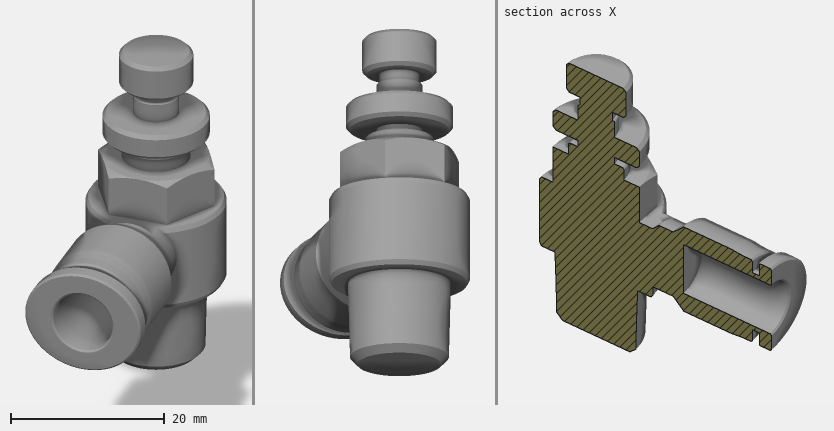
import cadquery as cq
import math


thread_top_radius = 6.72
thread_end_radius = 6.45
thread_length = 11.0
thread_chamfer = 1.0

body_radius = 9.2
body_height = 11.8
body_chamfer_height = 0.6
body_chamfer_angle = 30.0
body_chamfer_width = body_chamfer_height * math.tan(math.radians(body_chamfer_angle))
body_bottom_z = thread_length
body_top_z = body_bottom_z + body_height

hex_across_flats = 14.0
hex_height = 6.0
hex_chamfer_angle = 30.0
hex_corner_radius = hex_across_flats / math.sqrt(3)
hex_top_z = body_top_z + hex_height

collar_radius = 4.5
collar_height = 2.0
collar_chamfer = 0.25
collar_top_z = hex_top_z + collar_height
stem_radius = 3.0
stem_chamfer = 0.15
stem_top_z = 38.0
stem_neck_radius = 2.65
ring_radius = 7.0
ring_thickness = 3.5
ring_chamfer = 0.5
ring_gap = 1.0
ring_bottom_z = collar_top_z + ring_gap
knob_radius = 4.85
knob_height = 5.0
knob_top_chamfer = 0.5
knob_bottom_chamfer = 0.5
overall_height = 44.3
knob_bottom_z = overall_height - knob_height

arm_axis_z = 18.37
arm_neck_radius = 5.5
arm_neck_end = 12.4
sleeve_radius = 7.2
sleeve_start = arm_neck_end + sleeve_radius - arm_neck_radius
sleeve_end = 21.6
sleeve_tip_radius = 7.0
sleeve_taper_end = 23.6
sleeve_tip_end = 25.2
sleeve_tip_chamfer = 0.25
release_stem_radius = 4.9

flange_width = 16.0
flange_height = 14.0
flange_start = 26.3
flange_chamfer = 0.25
arm_length = 28.3

bore_radius = 4.1
bore_depth = arm_length - sleeve_start
bore_chamfer = 0.25

relief_flat_height = body_top_z - arm_axis_z
relief_cone_end = 10.15
relief_cone_start = relief_cone_end - (arm_neck_radius - relief_flat_height)


def disc(radius, bottom_z, top_z, bottom_chamfer=0.0, top_chamfer=0.0):
    """Cylinder on the Z axis with optional chamfers on its rims."""
    solid = cq.Workplane("XY").workplane(offset=bottom_z).circle(radius).extrude(top_z - bottom_z)
    if bottom_chamfer > 0:
        solid = solid.faces("<Z").chamfer(bottom_chamfer)
    if top_chamfer > 0:
        solid = solid.faces(">Z").chamfer(top_chamfer)
    return solid


def axis_revolve(profile):
    """Revolve (radius, height) points about the Z axis."""
    return cq.Workplane("XZ").polyline(profile).close().revolve(360, (0, 0), (0, 1))


def arm_revolve(profile):
    """Revolve (radius, distance) points about the arm axis."""
    points = [(-distance, arm_axis_z + radius) for radius, distance in profile]
    return cq.Workplane("YZ").polyline(points).close().revolve(360, (0, arm_axis_z), (1, arm_axis_z))


def make_body():
    """Cylinder with steep chamfers on both rims."""
    rim_radius = body_radius - body_chamfer_width
    return axis_revolve([
        (0, body_bottom_z),
        (rim_radius, body_bottom_z),
        (body_radius, body_bottom_z + body_chamfer_height),
        (body_radius, body_top_z - body_chamfer_height),
        (rim_radius, body_top_z),
        (0, body_top_z),
    ])


def make_thread_end():
    profile = [
        (0, 0),
        (thread_end_radius - thread_chamfer, 0),
        (thread_end_radius, thread_chamfer),
        (thread_top_radius, thread_length),
        (0, thread_length),
    ]
    return axis_revolve(profile)


def make_hex_nut():
    """Hexagon with corners on X, trimmed on top by a shallow cone touching the flats."""
    prism = (
        cq.Workplane("XY")
        .workplane(offset=body_top_z)
        .polygon(6, 2 * hex_corner_radius)
        .extrude(hex_height)
    )
    flat_radius = hex_across_flats / 2
    outer_radius = body_radius
    cone_drop = (outer_radius - flat_radius) * math.tan(math.radians(hex_chamfer_angle))
    envelope_profile = [
        (0, body_top_z),
        (outer_radius, body_top_z),
        (outer_radius, hex_top_z - cone_drop),
        (flat_radius, hex_top_z),
        (0, hex_top_z),
    ]
    return prism.intersect(axis_revolve(envelope_profile))


def make_adjuster():
    """Collar, stem, lock ring and knob above the nut."""
    collar = disc(collar_radius, hex_top_z, collar_top_z, top_chamfer=collar_chamfer)
    stem = disc(stem_radius, collar_top_z, stem_top_z, top_chamfer=stem_chamfer)
    ring = disc(ring_radius, ring_bottom_z, ring_bottom_z + ring_thickness, ring_chamfer, ring_chamfer)
    neck = disc(stem_neck_radius, stem_top_z, knob_bottom_z)
    knob = disc(knob_radius, knob_bottom_z, overall_height, knob_bottom_chamfer, knob_top_chamfer)
    return collar.union(stem).union(ring).union(neck).union(knob)


def make_arm():
    barrel = arm_revolve([
        (0, 0),
        (arm_neck_radius, 0),
        (arm_neck_radius, arm_neck_end),
        (sleeve_radius, sleeve_start),
        (sleeve_radius, sleeve_end),
        (sleeve_tip_radius, sleeve_taper_end),
        (sleeve_tip_radius, sleeve_tip_end - sleeve_tip_chamfer),
        (sleeve_tip_radius - sleeve_tip_chamfer, sleeve_tip_end),
        (release_stem_radius, sleeve_tip_end),
        (release_stem_radius, flange_start),
        (0, flange_start),
    ])
    flange = (
        cq.Workplane("XZ", origin=(0, -flange_start, arm_axis_z))
        .ellipse(flange_width / 2, flange_height / 2)
        .extrude(arm_length - flange_start)
        .faces("<Y")
        .chamfer(flange_chamfer)
    )
    return barrel.union(flange).cut(make_relief())


def make_relief():
    """Volume above the body top, bounded by the neck's 45 degree conical shoulder."""
    block = cq.Workplane("XY").box(
        2 * arm_neck_radius, relief_cone_end, arm_neck_radius, centered=(True, False, False)
    )
    block = block.translate((0, -relief_cone_end, body_top_z))
    shoulder = arm_revolve([
        (0, relief_cone_start - relief_flat_height),
        (arm_neck_radius, relief_cone_end),
        (0, relief_cone_end),
    ])
    return block.cut(shoulder)


def make_bore():
    """Blind tube socket with a chamfered mouth."""
    return arm_revolve([
        (0, arm_length),
        (bore_radius + bore_chamfer, arm_length),
        (bore_radius, arm_length - bore_chamfer),
        (bore_radius, arm_length - bore_depth),
        (0, arm_length - bore_depth),
    ])


result = (
    make_body()
    .union(make_thread_end())
    .union(make_arm())
    .union(make_hex_nut())
    .union(make_adjuster())
    .cut(make_bore())
)